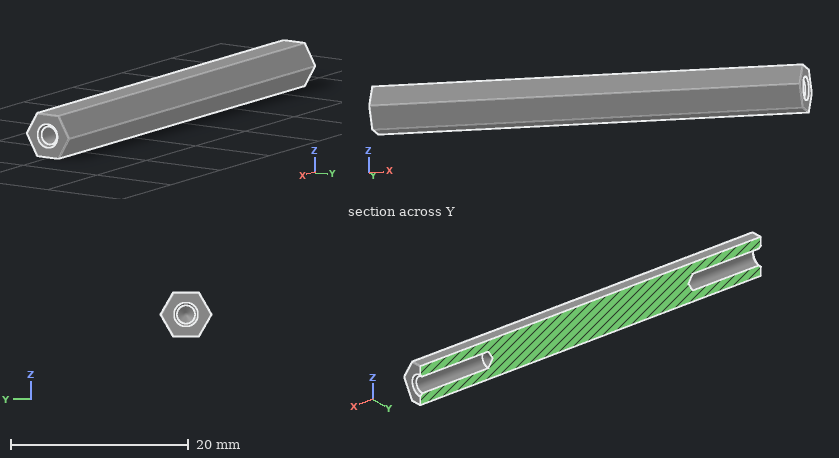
import cadquery as cq
import math

length = 50.0
across_flats = 5.0
edge_radius = 0.1

hole_diameter = 2.05
hole_depth = 10.0
mouth_diameter = 2.7
mouth_angle = 90.0
drill_tip_angle = 118.0


def cone_depth(radius_change, included_angle):
    """Axial length of a cone whose radius changes by the given amount."""
    return radius_change / math.tan(math.radians(included_angle / 2))


def hex_bar():
    """Bar centred on the origin, with flats facing +Z and -Z and all edges rounded."""
    across_corners = across_flats / math.cos(math.pi / 6)
    bar = cq.Workplane("YZ").polygon(6, across_corners).extrude(length / 2, both=True)
    return bar.edges().fillet(edge_radius)


def drilled_hole():
    """Countersunk hole with a conical bottom, entering from the -X end."""
    hole_radius = hole_diameter / 2
    mouth_radius = mouth_diameter / 2
    entry_x = -length / 2
    mouth_depth = cone_depth(mouth_radius - hole_radius, mouth_angle)
    tip_depth = cone_depth(hole_radius, drill_tip_angle)
    profile = (
        cq.Workplane("XY")
        .moveTo(entry_x, 0)
        .lineTo(entry_x, mouth_radius)
        .lineTo(entry_x + mouth_depth, hole_radius)
        .lineTo(entry_x + hole_depth, hole_radius)
        .lineTo(entry_x + hole_depth + tip_depth, 0)
        .close()
    )
    return profile.revolve(360, (0, 0, 0), (1, 0, 0))


near_hole = drilled_hole()
far_hole = near_hole.mirror("YZ")
result = hex_bar().cut(near_hole).cut(far_hole)